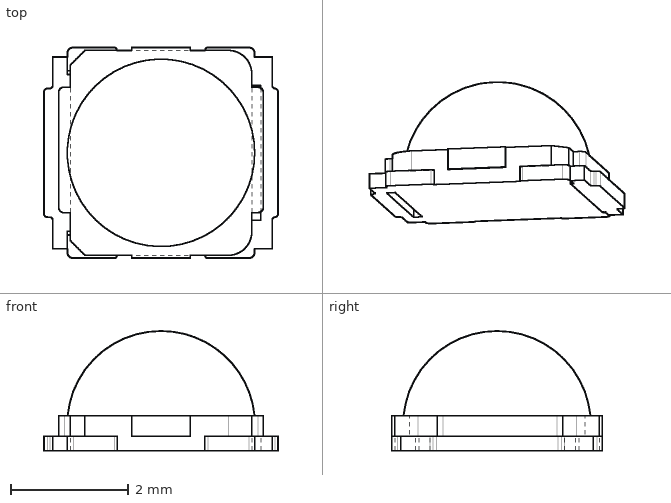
import cadquery as cq

base_height = 0.25
plate_top = 0.6
dome_top = 2.05

overall_length = 4
overall_width = 3.6
pad_span = 3.2
pad_gap = 1.5
pad_inner_y = 1.4
pad_corner_radius = 0.1
pad_end_radius = pad_corner_radius / 2
strip_half_width = 1.64
terminal_shoulder_x = -3.7 / 2
strip_shoulder_x = 3.8 / 2
lip_half_width = 1.1
lip_outer_radius = 0.06
lip_inner_radius = 0.1 / 2

tongue_half_width = 1.34
slot_half_width = 1.15
slot_end_x = 1.7

plate_length = 3.1
plate_width = 3.5
plate_chamfer = 0.25
plate_radius = 0.4
ear_span = 3.5
ear_min_y = -1.025
ear_max_y = 1.125
ear_radius = 0.1
tab_length = 1

dome_base_radius = 1.6


def block(x_min, x_max, y_min, y_max, z_min, z_max):
    """Box between the given limits."""
    return (
        cq.Workplane("XY")
        .box(x_max - x_min, y_max - y_min, z_max - z_min, centered=False)
        .translate((x_min, y_min, z_min))
    )


def base_block(x_min, x_max, half_width):
    """Box through the base layer, symmetric about the XZ plane."""
    return block(x_min, x_max, -half_width, half_width, 0, base_height)


def terminal_strip(inner_x, shoulder_x, lip_x):
    """Strip along Y whose outer edge carries a narrower lip with rounded corners."""
    strip = base_block(min(inner_x, shoulder_x), max(inner_x, shoulder_x), strip_half_width)
    lip = base_block(min(inner_x, lip_x), max(inner_x, lip_x), lip_half_width)
    strip = strip.union(lip)
    for y in (-lip_half_width, lip_half_width):
        for x, radius in ((lip_x, lip_outer_radius), (shoulder_x, lip_inner_radius)):
            corner = cq.selectors.NearestToPointSelector((x, y, base_height / 2))
            strip = strip.edges("|Z").edges(corner).fillet(radius)
    return strip


def corner_pad(x_side, y_side):
    """Pad at the corner given by the signs of X and Y."""
    outer_x = pad_span / 2
    inner_x = pad_gap / 2
    outer_y = overall_width / 2
    pad = block(inner_x, outer_x, pad_inner_y, outer_y, 0, base_height)
    pad = pad.edges("|Z and >X and >Y").fillet(pad_corner_radius)
    pad = pad.edges("|Z and <X and >Y").fillet(pad_end_radius)
    if x_side < 0:
        pad = pad.mirror("YZ")
    if y_side < 0:
        pad = pad.mirror("XZ")
    return pad


def make_base():
    """Base layer of the housing: core, bridge, four pads and a terminal strip with a slot."""
    core = base_block(-plate_length / 2, plate_length / 2, pad_inner_y)
    bridge = base_block(-pad_gap / 2, pad_gap / 2, plate_width / 2)
    base = core.union(bridge)
    for x_side in (-1, 1):
        for y_side in (-1, 1):
            base = base.union(corner_pad(x_side, y_side))
    base = base.union(terminal_strip(plate_length / 2, strip_shoulder_x, overall_length / 2))
    slot = base_block(plate_length / 2, slot_end_x, slot_half_width)
    return base.cut(slot)


def make_plate():
    """Plate with two chamfered and two rounded corners, an ear at each end and two side tabs."""
    half_length = plate_length / 2
    half_width = plate_width / 2
    plate = block(-half_length, half_length, -half_width, half_width, base_height, plate_top)
    plate = plate.edges("|Z and <X").chamfer(plate_chamfer)
    plate = plate.edges("|Z and >X").fillet(plate_radius)
    ears = block(-ear_span / 2, ear_span / 2, ear_min_y, ear_max_y, base_height, plate_top)
    ears = ears.edges("|Z").fillet(ear_radius)
    tabs = block(
        -tab_length / 2, tab_length / 2, -overall_width / 2, overall_width / 2, base_height, plate_top
    )
    return plate.union(ears).union(tabs)


def make_dome():
    """Spherical cap standing on the plate."""
    cap_height = dome_top - plate_top
    sphere_radius = (dome_base_radius**2 + cap_height**2) / (2 * cap_height)
    sphere = cq.Workplane("XY").sphere(sphere_radius).translate((0, 0, dome_top - sphere_radius))
    cap_limits = block(
        -sphere_radius, sphere_radius, -sphere_radius, sphere_radius, plate_top, dome_top
    )
    return sphere.intersect(cap_limits)


def make_housing():
    """Housing: base layer, plate and dome in one piece."""
    return make_base().union(make_plate()).union(make_dome())


def make_terminal():
    """Separate terminal that ends against the pads, with a tongue set between them."""
    strip = terminal_strip(-pad_span / 2, terminal_shoulder_x, -overall_length / 2)
    tongue = base_block(-pad_span / 2, -plate_length / 2, tongue_half_width)
    return strip.union(tongue)


housing = make_housing()
terminal = make_terminal()
result = cq.Compound.makeCompound([housing.solids().val(), terminal.solids().val()])